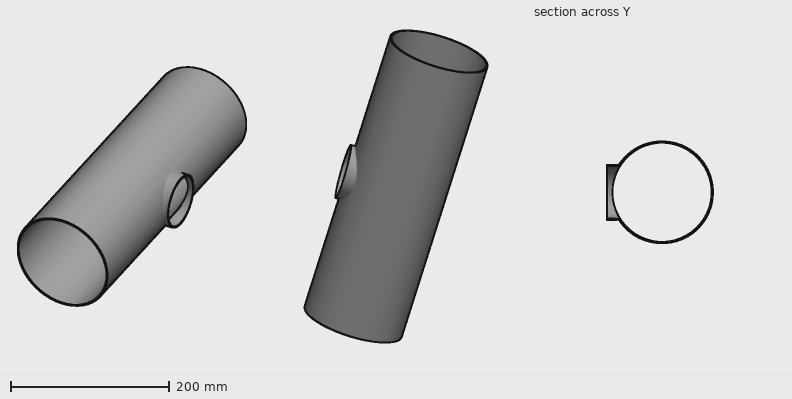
import cadquery as cq

pipe_outer_diameter = 129.0
wall_thickness = 2.0
pipe_length = 375.0

branch_outer_diameter = 70.0
overall_width = 134.0
weld_radius = 2.0

pipe_outer_radius = pipe_outer_diameter / 2
pipe_inner_radius = pipe_outer_radius - wall_thickness
branch_outer_radius = branch_outer_diameter / 2
branch_inner_radius = branch_outer_radius - wall_thickness
branch_reach = overall_width - pipe_outer_radius


def pipe_cylinder(radius):
    """Cylinder along Y, centred on the origin."""
    return cq.Workplane("XZ").circle(radius).extrude(pipe_length / 2, both=True)


def branch_cylinder(radius):
    """Cylinder along +X, from the pipe axis to the open end of the branch."""
    return cq.Workplane("YZ").circle(radius).extrude(branch_reach)


def solid_tee():
    """Pipe and branch without bores, with a weld fillet around their joint."""
    tee = pipe_cylinder(pipe_outer_radius).union(branch_cylinder(branch_outer_radius))
    margin = 1.0
    joint_zone = cq.selectors.BoxSelector(
        (0, -branch_outer_radius - margin, -branch_outer_radius - margin),
        (branch_reach - margin, branch_outer_radius + margin, branch_outer_radius + margin),
        boundingbox=True,
    )
    return tee.edges(joint_zone).edges("not %LINE").fillet(weld_radius)


result = (
    solid_tee()
    .cut(pipe_cylinder(pipe_inner_radius))
    .cut(branch_cylinder(branch_inner_radius))
)